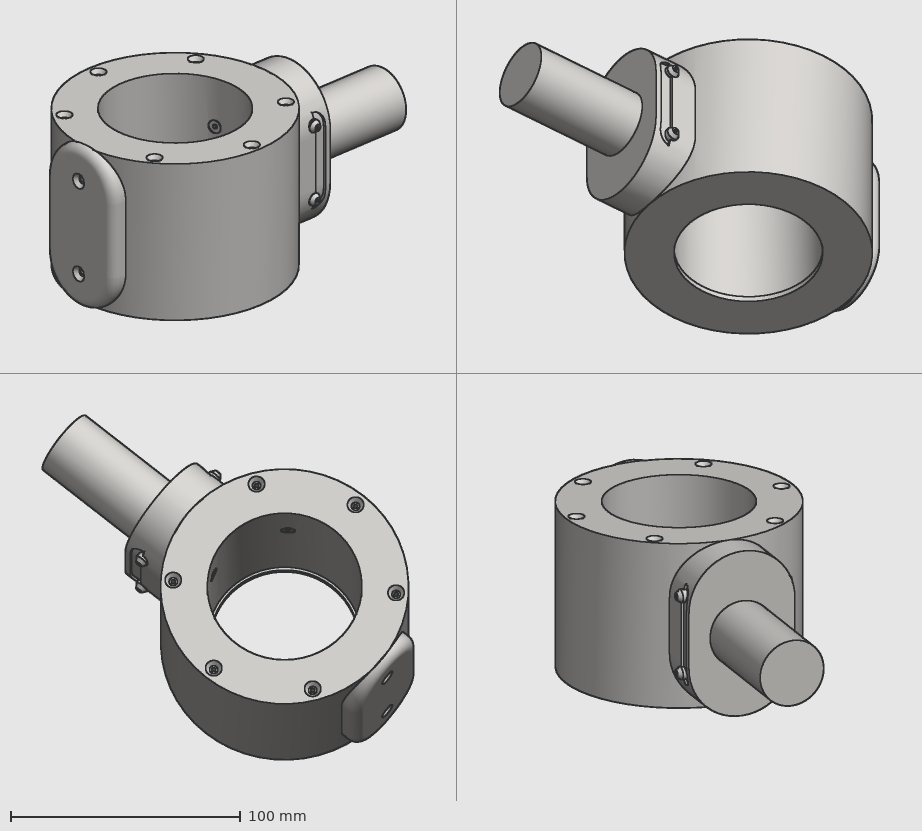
import cadquery as cq
import math

overall_length = 182.0

body_diameter = 108.0
body_height = 76.3
bore_diameter = 67.3
lip_diameter = 64.8
lip_height = 2.7

pad_width = 42.4
pad_height = 78.5
pad_face_y = -57.9
pad_fillet = 5.0

collar_width = 50.2
collar_end_y = 69.2
handle_diameter = 30.2
handle_end_y = pad_face_y + overall_length

recess_depth = 1.3
recess_height = 46.8
recess_radius = 6.0
recess_edge_y = 60.5

screw_head_diameter = 6.0
screw_crown_diameter = 3.3
screw_head_rise = 2.0
screw_socket_diameter = 1.3
screw_socket_depth = 1.1
screw_y = 59.9
screw_spacing = 35.7

sink_diameter = 7.1
sink_floor_diameter = 3.6
sink_depth = 2.2
pilot_diameter = 1.8
pilot_depth = 7.3
ring_hole_radius = 48.6
ring_hole_angles = (0, 54, 126, 180, 234, 306)
pad_hole_spacing = 45.1

socket_diameter = 6.2
socket_depth = 0.4
socket_pilot_diameter = 2.2
socket_pilot_depth = 1.8
socket_below_top = 23.7
socket_angles = (37, 106)

body_radius = body_diameter / 2
bore_radius = bore_diameter / 2
top_z = body_height / 2


def cylinder(diameter, start, direction, length):
    """Solid cylinder from a start point along a direction."""
    solid = cq.Solid.makeCylinder(diameter / 2, length, cq.Vector(*start), cq.Vector(*direction))
    return cq.Workplane(solid)


def cone(start_diameter, end_diameter, start, direction, length):
    """Solid truncated cone from a start point along a direction."""
    return cq.Workplane(
        cq.Solid.makeCone(
            start_diameter / 2, end_diameter / 2, length, cq.Vector(*start), cq.Vector(*direction)
        )
    )


def upright_slot(width, height, face_y, length):
    """Prism with an upright slot outline, running from y = face_y toward -Y."""
    profile = cq.Workplane("XZ", origin=(0, face_y, 0)).slot2D(height, width, 90)
    return profile.extrude(length)


def countersunk_hole(mouth, direction):
    """Cutter for a conical seat with a pilot hole below it."""
    seat = cone(sink_diameter, sink_floor_diameter, mouth, direction, sink_depth)
    pilot = cylinder(pilot_diameter, mouth, direction, pilot_depth)
    return seat.union(pilot)


def bore_socket(angle):
    """Cutter for a shallow stepped socket in the bore wall."""
    outward = (math.cos(math.radians(angle)), math.sin(math.radians(angle)), 0)
    centre = (0, 0, top_z - socket_below_top)
    socket = cylinder(socket_diameter, centre, outward, bore_radius + socket_depth)
    pilot = cylinder(socket_pilot_diameter, centre, outward, bore_radius + socket_pilot_depth)
    return socket.union(pilot)


def ring_body():
    """Plain cylinder of the body, before boring."""
    return cq.Workplane("XY").circle(body_radius).extrude(body_height).translate((0, 0, -top_z))


def tall_body_cylinder():
    """The body's cylinder extended past both ends, for trimming what sits against it."""
    return cylinder(body_diameter, (0, 0, -body_height), (0, 0, 1), 2 * body_height)


def pad():
    """Pad with a rounded front edge, trimmed to sit on the body's cylinder."""
    blank = upright_slot(pad_width, pad_height, 0, abs(pad_face_y))
    blank = blank.faces("<Y").edges().fillet(pad_fillet)
    return blank.cut(tall_body_cylinder())


def collar_recesses():
    """Cutter for both recesses: a skin of the collar inside a D-shaped outline."""
    skin = upright_slot(collar_width, body_height, collar_end_y, collar_end_y)
    core = upright_slot(
        collar_width - 2 * recess_depth, body_height - 2 * recess_depth, collar_end_y, collar_end_y
    )
    outline = (
        cq.Workplane("YZ")
        .center(recess_edge_y, 0)
        .slot2D(recess_height, 2 * recess_radius, 90)
        .extrude(collar_width, both=True)
    )
    body_side = cq.Workplane("XY").box(body_diameter, 2 * recess_edge_y, body_height)
    return skin.cut(core).intersect(outline).cut(body_side)


def collar_screw(side, z):
    """Conical-headed screw standing on a collar flank, with a small socket in its crown."""
    outward = (side, 0, 0)
    flank_x = collar_width / 2
    crown = (side * (flank_x + screw_head_rise), screw_y, z)
    rim = (side * flank_x, screw_y, z)
    shank = cylinder(screw_head_diameter, (0, screw_y, z), outward, flank_x)
    head = cone(screw_head_diameter, screw_crown_diameter, rim, outward, screw_head_rise)
    socket = cylinder(screw_socket_diameter, crown, (-side, 0, 0), screw_socket_depth)
    return shank.union(head).cut(socket)


def collar_and_handle():
    """Recessed collar with its screws, and the round handle running along its centre."""
    collar = upright_slot(collar_width, body_height, collar_end_y, collar_end_y)
    collar = collar.cut(tall_body_cylinder()).cut(collar_recesses())
    for side in (-1, 1):
        for z in (-screw_spacing / 2, screw_spacing / 2):
            collar = collar.union(collar_screw(side, z))
    handle = cylinder(handle_diameter, (0, 0, 0), (0, 1, 0), handle_end_y)
    return collar.union(handle)


result = ring_body().union(pad()).union(collar_and_handle())

result = result.cut(cylinder(lip_diameter, (0, 0, -top_z), (0, 0, 1), body_height))
result = result.cut(cylinder(bore_diameter, (0, 0, lip_height - top_z), (0, 0, 1), body_height))

for angle in socket_angles:
    result = result.cut(bore_socket(angle))

for angle in ring_hole_angles:
    hole_x = ring_hole_radius * math.cos(math.radians(angle))
    hole_y = ring_hole_radius * math.sin(math.radians(angle))
    result = result.cut(countersunk_hole((hole_x, hole_y, top_z), (0, 0, -1)))

for z in (-pad_hole_spacing / 2, pad_hole_spacing / 2):
    result = result.cut(countersunk_hole((0, pad_face_y, z), (0, 1, 0)))